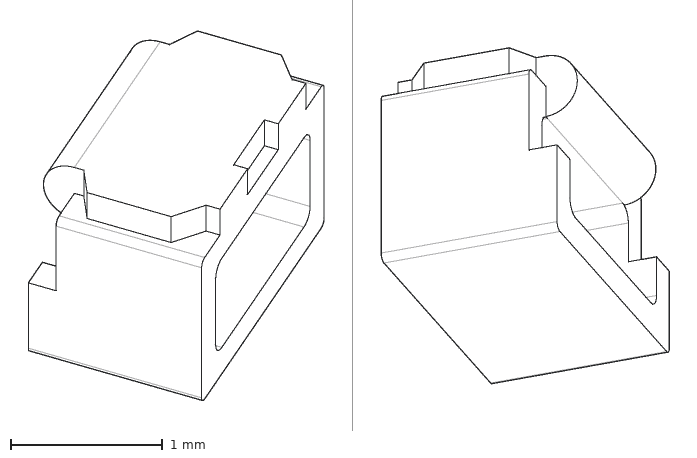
import cadquery as cq

width = 2.0
depth = 1.05
total_height = 1.45
roll_radius = 0.225
body_height = total_height - roll_radius
outer_fillet = 0.05

lip_length = 0.2
lip_height = 0.615

window_width = 1.54
floor_thickness = 0.23
window_top = body_height - roll_radius
window_fillet = 0.1

roll_width = 1.4
plate_width = 1.8
wing_root_front = 0.068
wing_tip_front = 0.18
wing_tip_rear = 0.785
notch_depth = 0.1
notch_width = 0.5
wing_root_rear = depth - notch_depth


def box(x_start, x_end, y_size, z_start, z_end):
    """Box centred on Y between the given X and Z limits."""
    return (
        cq.Workplane("XY", origin=(x_start, 0, z_start))
        .box(x_end - x_start, y_size, z_end - z_start, centered=(False, True, False))
    )


def make_body():
    body = box(-lip_length, depth, width, 0, body_height).edges("|X").fillet(outer_fillet)
    front_step = box(-lip_length, 0, width, lip_height, body_height)
    window = box(-lip_length, depth, window_width, floor_thickness, window_top)
    window = window.edges("|X").fillet(window_fillet)
    return body.cut(front_step).cut(window)


def make_plate():
    half_root = roll_width / 2
    half_tip = plate_width / 2
    side = [
        (0, half_root),
        (wing_root_front, half_root),
        (wing_tip_front, half_tip),
        (wing_tip_rear, half_tip),
        (wing_root_rear, half_root),
        (depth, half_root),
    ]
    mirrored_side = [(x, -y) for x, y in reversed(side)]
    plate = (
        cq.Workplane("XY", origin=(0, 0, body_height))
        .polyline(side + mirrored_side)
        .close()
        .extrude(roll_radius)
    )
    notch = box(depth - notch_depth, depth, notch_width, body_height, total_height)
    return plate.cut(notch)


def make_roll():
    """Half cylinder along Y, bulging forward from the body front."""
    return (
        cq.Workplane("XZ")
        .moveTo(0, total_height)
        .threePointArc((-roll_radius, body_height), (0, window_top))
        .close()
        .extrude(roll_width / 2, both=True)
    )


result = make_body().union(make_plate()).union(make_roll())